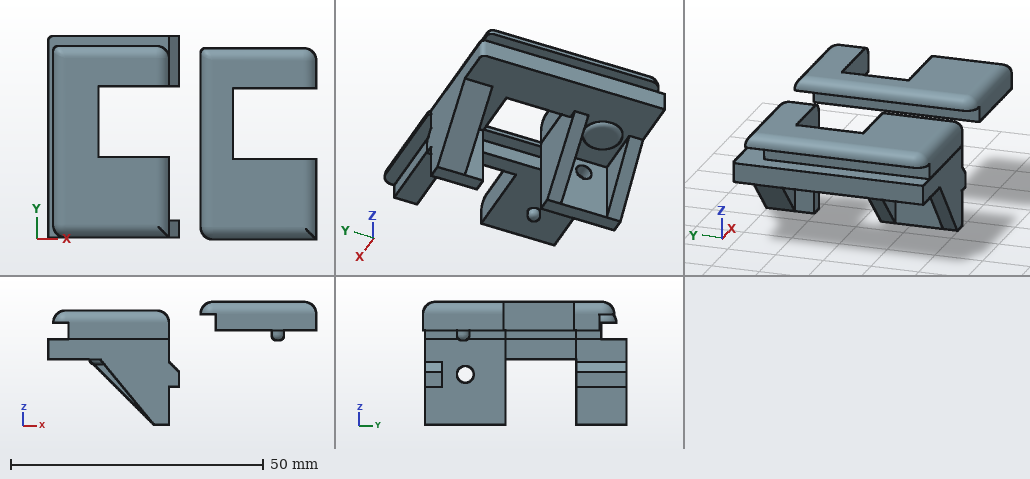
import cadquery as cq


base_width = 24.0
base_length = 40.0
plate_thickness = 4.0
leg_height = 13.0
plate_top = leg_height + plate_thickness
corner_radius = 1.0

front_leg_width = 16.0
rear_leg_width = 10.0
notch_end = base_length - rear_leg_width
notch_depth_base = 14.0

wall_thickness = 3.0
wall_face = base_width - wall_thickness
gusset_start = wall_face - leg_height
front_gusset_start = 10.3
gusset_thickness = 3.0
rear_gusset_thickness = 6.0

rib_projection = 2.0
rib_bottom = 7.5
rib_height = 3.0
front_rib_length = 3.4

screw_hole_diameter = 3.3
screw_hole_height = 10.0
pad_diameter = 8.0
pad_depth = 1.0
pad_edge_radius = 0.95
pad_x = 12.2

cap_width = 23.0
cap_length = 38.0
cover_thickness = 2.5
edge_land = 0.01
cover_edge_radius = cover_thickness - edge_land
rim_height = 3.2
rim_setback = 3.0
cap_height = rim_height + cover_thickness
mounted_cap_x = base_width - cap_width

loose_cap_x = 30.22
loose_cap_y = -0.42
loose_cap_top = 24.42
loose_cap_bottom = loose_cap_top - cap_height
notch_depth_loose = 16.5

pin_diameter = 2.5
pin_projection = 2.0
pin_end_radius = 1.0
pin_inset = 15.35
pin_x = loose_cap_x + pin_inset
pin_y = loose_cap_y + front_leg_width / 2


def block(x_min, x_max, y_min, y_max, z_min, z_max):
    size = (x_max - x_min, y_max - y_min, z_max - z_min)
    return cq.Workplane("XY").box(*size, centered=False).translate((x_min, y_min, z_min))


def extruded_along_y(points, y_min, y_max):
    """Extrude an XZ outline between two Y positions."""
    return cq.Workplane("XZ", origin=(0, y_min, 0)).polyline(points).close().extrude(y_min - y_max)


def make_gusset(start, y_min, y_max):
    outline = [(start, leg_height), (wall_face, 0), (wall_face, leg_height)]
    return extruded_along_y(outline, y_min, y_max)


def make_rib(y_min, y_max):
    rib_top = rib_bottom + rib_height
    tip = base_width + rib_projection
    outline = [
        (base_width, rib_bottom),
        (tip, rib_bottom),
        (tip, rib_top),
        (base_width, rib_top + rib_projection),
    ]
    return extruded_along_y(outline, y_min, y_max)


def make_base():
    leg_center = front_leg_width / 2

    base = block(0, base_width, 0, base_length, leg_height, plate_top)
    base = base.edges("|Z and <X and >Y").fillet(corner_radius)
    base = base.union(block(wall_face, base_width, 0, base_length, 0, leg_height))

    base = base.union(make_gusset(front_gusset_start, 0, gusset_thickness))
    base = base.union(make_gusset(gusset_start, front_leg_width - gusset_thickness, front_leg_width))
    base = base.union(make_gusset(gusset_start, base_length - rear_gusset_thickness, base_length))
    base = base.union(make_rib(0, front_rib_length))
    base = base.union(make_rib(notch_end, base_length))

    pad = cq.Workplane("XY", origin=(pad_x, leg_center, leg_height))
    pad = pad.circle(pad_diameter / 2).extrude(-pad_depth)
    base = base.union(pad.faces("<Z").edges().fillet(pad_edge_radius))

    notch_start = base_width - notch_depth_base
    notch = block(notch_start, base_width, front_leg_width, notch_end, 0, plate_top)
    screw_hole = (
        cq.Workplane("YZ", origin=(wall_face, leg_center, screw_hole_height))
        .circle(screw_hole_diameter / 2)
        .extrude(wall_thickness)
    )
    return base.cut(notch).cut(screw_hole)


def make_cap(notch_depth):
    """Cap with its outer front corner at the origin and its rim standing on Z = 0."""
    cover = block(0, cap_width, 0, cap_length, rim_height, cap_height)
    cover = cover.edges("|Z and <X and >Y").fillet(corner_radius)
    cover = cover.edges(">Z or (|Z and <X and <Y) or (|Z and >X and >Y)").fillet(cover_edge_radius)

    rim = block(rim_setback, cap_width, 0, cap_length - rim_setback, 0, rim_height)
    rim = rim.edges("|Z and <X and >Y").fillet(corner_radius)

    notch_start = cap_width - notch_depth
    notch = block(notch_start, cap_width, front_leg_width, notch_end, 0, cap_height)
    return cover.union(rim).cut(notch)


def make_pin():
    """Pin standing in the rim, with its rounded end below the cap."""
    pin = cq.Workplane("XY", origin=(pin_x, pin_y, loose_cap_bottom - pin_projection))
    pin = pin.circle(pin_diameter / 2).extrude(pin_projection + rim_height)
    return pin.faces("<Z").edges().fillet(pin_end_radius)


base = make_base()
mounted_cap = make_cap(notch_depth_base).translate((mounted_cap_x, 0, plate_top))
pin = make_pin()
loose_cap = make_cap(notch_depth_loose).translate((loose_cap_x, loose_cap_y, loose_cap_bottom))
loose_cap = loose_cap.cut(pin)

result = cq.Compound.makeCompound([base.val(), mounted_cap.val(), loose_cap.val(), pin.val()])